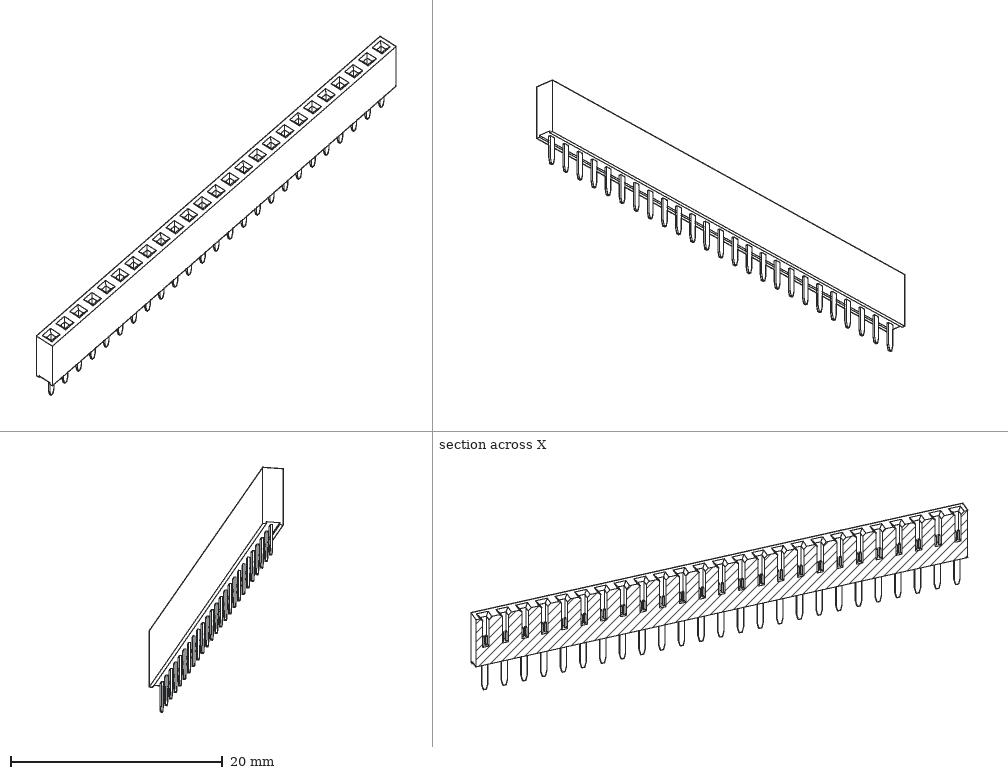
import cadquery as cq

position_count = 25
pitch = 2.0
body_width = 2.0
body_length = position_count * pitch
body_height = 5.6

rib_width = 0.35
channel_depth = 0.2

lead_in_size = 1.2
cavity_size = 0.6
lead_in_depth = 0.3
cavity_depth = 3.0
cavity_top_z = body_height - lead_in_depth
cavity_floor_z = cavity_top_z - cavity_depth

fork_height = 1.0
fork_width = 0.5
fork_gap = 0.2
contact_thickness = 0.2
contact_width = 0.6
tail_length = 2.7
tip_width = 0.3
tip_length = 0.6

position_offsets = [
    (index - (position_count - 1) / 2) * pitch for index in range(position_count)
]
position_points = [(0, offset) for offset in position_offsets]


def make_housing():
    """Rectangular bar with a full-length channel in its underside."""
    block = cq.Workplane("XY").box(
        body_width, body_length, body_height, centered=(True, True, False)
    )
    channel_width = body_width - 2 * rib_width
    channel = cq.Workplane("XY").box(
        channel_width, body_length, channel_depth, centered=(True, True, False)
    )
    return block.cut(channel)


def make_socket():
    """Solid of the space inside one socket, centred on the Z axis."""
    lead_in = (
        cq.Workplane("XY")
        .workplane(offset=body_height)
        .rect(lead_in_size, lead_in_size)
        .workplane(offset=-lead_in_depth)
        .rect(cavity_size, cavity_size)
        .loft(ruled=True)
    )
    cavity = (
        cq.Workplane("XY")
        .workplane(offset=cavity_top_z)
        .rect(cavity_size, cavity_size)
        .extrude(-cavity_depth)
    )
    return lead_in.union(cavity)


def make_contact():
    """Flat contact with a forked top and a narrowed lower tip, centred on the Z axis."""
    top_z = cavity_floor_z + fork_height
    shoulder_z = tip_length - tail_length
    outline = [
        (-fork_gap / 2, cavity_floor_z),
        (-fork_gap / 2, top_z),
        (-fork_width / 2, top_z),
        (-fork_width / 2, cavity_floor_z),
        (-contact_width / 2, cavity_floor_z),
        (-contact_width / 2, shoulder_z),
        (-tip_width / 2, -tail_length),
        (tip_width / 2, -tail_length),
        (contact_width / 2, shoulder_z),
        (contact_width / 2, cavity_floor_z),
        (fork_width / 2, cavity_floor_z),
        (fork_width / 2, top_z),
        (fork_gap / 2, top_z),
        (fork_gap / 2, cavity_floor_z),
    ]
    profile = cq.Workplane("YZ").polyline(outline).close()
    return profile.extrude(contact_thickness / 2, both=True)


def at_every_position(feature):
    """Copies of one feature at all contact positions."""
    shape = feature.val()
    places = cq.Workplane("XY").pushPoints(position_points)
    return places.eachpoint(lambda place: shape.moved(place))


result = (
    make_housing()
    .cut(at_every_position(make_socket()))
    .union(at_every_position(make_contact()))
)